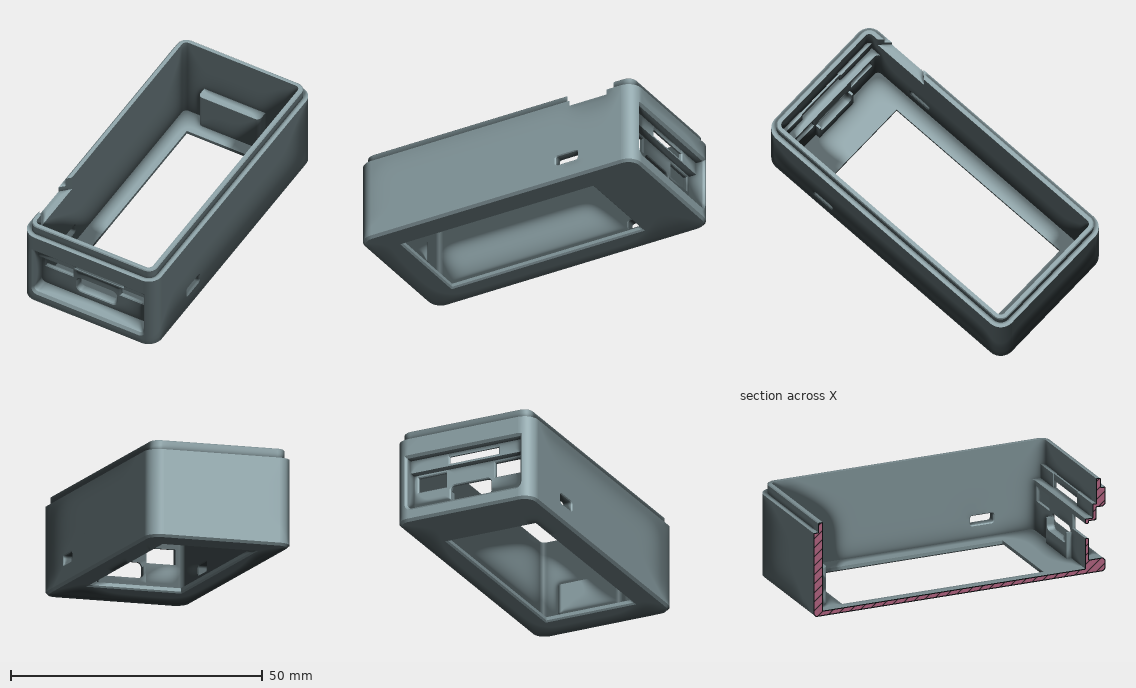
import cadquery as cq

LENGTH = 63.75
WIDTH = 30.5
HEIGHT = 19.8
WALL = 2.0
FLOOR = 1.0
CORNER_RADIUS = 3.0
BASE_CHAMFER = 0.5
LIP_HEIGHT = 2.05
LIP_INSET = 1.0
LIP_CHAMFER = 0.2
CAVITY_RADIUS = CORNER_RADIUS - WALL
BODY_TOP = HEIGHT - LIP_HEIGHT
FRONT = -LENGTH / 2
INNER_FRONT = FRONT + WALL
INNER_BACK = LENGTH / 2 - WALL
CAVITY_WIDTH = WIDTH - 2 * WALL

WINDOW_WIDTH = 19.5
WINDOW_LENGTH = 44.0
WINDOW_Y = 2.75
WINDOW_CHAMFER = 0.3

BLOCK_WIDTH = 14.0
BLOCK_DEPTH = 2.5
BLOCK_TOP = 8.85
BLOCK_X = -1.7
BLOCK_RADIUS = 1.0

SHEET = 0.75
RECESS_WIDTH = 25.1
RECESS_BOTTOM = 2.8
RECESS_TOP = 13.8
RECESS_RADIUS = 1.0
RECESS_CHAMFER = 0.5
STEP_Z = 11.1
STEP_DEPTH = 1.6
UPPER_BACK = INNER_FRONT + SHEET
PANEL_FRONT = INNER_FRONT + STEP_DEPTH
PANEL_BACK = PANEL_FRONT + SHEET

EDGE_CHAMFER = 0.2
SLOT_X = 1.5
SLOT_WIDTH = 10.95
SLOT_BOTTOM = 11.6
SLOT_TOP = 13.15
PORT_X = 8.55
PORT_WIDTH = 6.2
PORT_BOTTOM = 7.45
PORT_TOP = 10.6
USB_WIDTH = 9.05
USB_BOTTOM = 4.1
USB_TOP = 7.5
USB_RADIUS = 1.0
CRADLE_WALL = 0.45
CRADLE_DEPTH = 1.0
CRADLE_BACK = PANEL_BACK + CRADLE_DEPTH

SIDE_HOLE_Y = -16.3
SIDE_HOLE_Z = 4.8
SIDE_HOLE_LENGTH = 5.1
SIDE_HOLE_HEIGHT = 2.0
SIDE_HOLE_RADIUS = 0.5

NOTCH_Y = -21.3
NOTCH_LENGTH = 8.55
NOTCH_BOTTOM = 16.65


def upright_box(width, length, bottom, top, x=0.0, y=0.0):
    """Box centred on (x, y) in plan, from bottom to top in Z."""
    return (
        cq.Workplane("XY", origin=(x, y, bottom))
        .rect(width, length)
        .extrude(top - bottom)
    )


def front_box(width, bottom, top, y_front, y_back, x=0.0):
    """Box centred on x, given by its Z and Y limits."""
    return upright_box(width, y_back - y_front, bottom, top, x, (y_front + y_back) / 2)


def opening(plane, width, height, depth, chamfer, radius=0.0, rounded="|Z", both_ends=False):
    """Cutter for a rectangular opening with a chamfered mouth, or with both ends chamfered.

    The plane lies on the chamfered face and its normal points out of the material.
    Only the corner edges picked by the rounded selector get the radius.
    """
    def prism(margin, bottom, top):
        block = upright_box(width + 2 * margin, height + 2 * margin, bottom, top)
        return block.edges(rounded).fillet(radius + margin) if radius else block

    mouth = prism(chamfer, -chamfer, chamfer).faces("<Z").chamfer(chamfer)
    cutter = prism(0, -depth, 0).union(mouth)
    if both_ends:
        far_end = prism(chamfer, -depth - chamfer, chamfer - depth).faces(">Z").chamfer(chamfer)
        cutter = cutter.union(far_end)
    return cq.Workplane(cutter.val().moved(plane.location))


def front_plane(x, y, z):
    """Plane facing -Y with its origin at (x, y, z)."""
    return cq.Plane(origin=(x, y, z), xDir=(1, 0, 0), normal=(0, -1, 0))


def shell():
    body = upright_box(WIDTH, LENGTH, 0, BODY_TOP).edges("|Z").fillet(CORNER_RADIUS)
    body = body.faces("<Z").chamfer(BASE_CHAMFER)
    lip = upright_box(WIDTH - 2 * LIP_INSET, LENGTH - 2 * LIP_INSET, FLOOR, HEIGHT)
    lip = lip.edges("|Z").fillet(CORNER_RADIUS - LIP_INSET)
    lip = lip.faces(">Z").chamfer(LIP_CHAMFER)
    cavity = upright_box(CAVITY_WIDTH, LENGTH - 2 * WALL, FLOOR, HEIGHT)
    cavity = cavity.edges("|Z").fillet(CAVITY_RADIUS)
    return body.union(lip).cut(cavity)


def window():
    underside = cq.Plane(origin=(0, WINDOW_Y, 0), xDir=(1, 0, 0), normal=(0, 0, -1))
    return opening(underside, WINDOW_WIDTH, WINDOW_LENGTH, FLOOR, WINDOW_CHAMFER)


def support_block():
    block = front_box(BLOCK_WIDTH, FLOOR, BLOCK_TOP, INNER_BACK - BLOCK_DEPTH, INNER_BACK, BLOCK_X)
    return block.edges("|Z and <Y").fillet(BLOCK_RADIUS)


def recess_backing():
    """Solid behind the recess: a thin upper sheet, a step below it and the USB cradle."""
    sheet = front_box(CAVITY_WIDTH, STEP_Z, RECESS_TOP + SHEET, INNER_FRONT, UPPER_BACK)
    step = front_box(CAVITY_WIDTH, FLOOR, SLOT_BOTTOM, INNER_FRONT, PANEL_BACK)
    cradle_width = USB_WIDTH + 2 * CRADLE_WALL
    cradle = front_box(cradle_width, FLOOR, USB_TOP - USB_RADIUS, PANEL_BACK, CRADLE_BACK)
    corners = front_box(CAVITY_WIDTH, FLOOR, SLOT_BOTTOM, PANEL_BACK, PANEL_BACK + 2 * CAVITY_RADIUS)
    rounded_room = corners.edges("|Z and <Y").fillet(CAVITY_RADIUS)
    return sheet.union(step).union(corners.cut(rounded_room)).union(cradle)


def recess():
    height = RECESS_TOP - RECESS_BOTTOM
    mouth = front_plane(0, FRONT, RECESS_BOTTOM + height / 2)
    upper = opening(mouth, RECESS_WIDTH, height, WALL, RECESS_CHAMFER, RECESS_RADIUS, "|Z and <Y")
    deep = front_box(RECESS_WIDTH, RECESS_BOTTOM, STEP_Z, FRONT + WALL / 2, PANEL_FRONT)
    return deep.edges("|Y and <Z").fillet(RECESS_RADIUS).union(upper)


def card_slot():
    """Slot with a chamfered mouth; the sheet above it is thinned from both sides."""
    height = SLOT_TOP - SLOT_BOTTOM
    mouth = front_plane(SLOT_X, INNER_FRONT, (SLOT_TOP + SLOT_BOTTOM) / 2)
    through = opening(mouth, SLOT_WIDTH, height, SHEET, EDGE_CHAMFER)
    sheet_top = RECESS_TOP + SHEET
    front_groove = front_box(
        SLOT_WIDTH, SLOT_TOP, sheet_top, INNER_FRONT, INNER_FRONT + EDGE_CHAMFER, SLOT_X
    )
    back_groove = front_box(
        SLOT_WIDTH + 2 * EDGE_CHAMFER, SLOT_BOTTOM, sheet_top,
        UPPER_BACK - EDGE_CHAMFER, UPPER_BACK, SLOT_X,
    )
    return through.union(front_groove).union(back_groove)


def port(side):
    height = PORT_TOP - PORT_BOTTOM
    mouth = front_plane(side * PORT_X, PANEL_FRONT, (PORT_TOP + PORT_BOTTOM) / 2)
    return opening(mouth, PORT_WIDTH, height, SHEET, EDGE_CHAMFER)


def usb_port():
    height = USB_TOP - USB_BOTTOM
    mouth = front_plane(0, PANEL_FRONT, (USB_TOP + USB_BOTTOM) / 2)
    depth = CRADLE_BACK - PANEL_FRONT
    return opening(mouth, USB_WIDTH, height, depth, EDGE_CHAMFER, USB_RADIUS)


def side_hole(side):
    wall_face = cq.Plane(
        origin=(side * WIDTH / 2, SIDE_HOLE_Y, SIDE_HOLE_Z), xDir=(0, 1, 0), normal=(side, 0, 0)
    )
    return opening(
        wall_face, SIDE_HOLE_LENGTH, SIDE_HOLE_HEIGHT, WALL,
        EDGE_CHAMFER, SIDE_HOLE_RADIUS, both_ends=True,
    )


def rim_notch():
    """Cutter through the -X wall that widens inward at 45 degrees."""
    outer_x = -WIDTH / 2
    inner_x = outer_x + WALL
    half = NOTCH_LENGTH / 2
    return (
        cq.Workplane("XY", origin=(0, NOTCH_Y, NOTCH_BOTTOM))
        .polyline([(outer_x, -half), (inner_x, -half - WALL), (inner_x, half + WALL), (outer_x, half)])
        .close()
        .extrude(HEIGHT - NOTCH_BOTTOM)
    )


result = shell().union(support_block()).union(recess_backing())
result = result.cut(window()).cut(recess()).cut(card_slot()).cut(usb_port())
for side in (-1, 1):
    result = result.cut(port(side)).cut(side_hole(side))
result = result.cut(rim_notch())